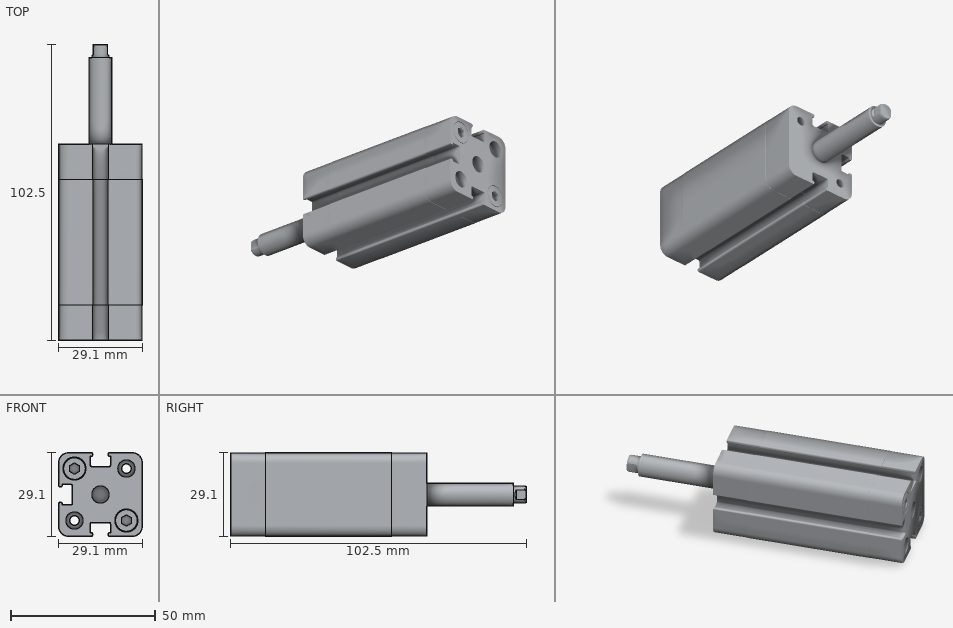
import cadquery as cq
import math

total_length = 102.5
body_length = 68.0
cap_length = 12.2
rod_shoulder = 98.0
tube_length = body_length - 2 * cap_length

tube_width = 29.05
cap_width = 28.9
corner_center = 11.0

groove_mouth = 6.4
groove_undercut = 13.2
groove_floor_radius = 0.5
tube_groove_throat = 5.3
cap_groove_throat = 5.6
tube_groove_inner_width = 7.0
cap_groove_inner_width = 7.1
tube_groove_floor = 9.8
cap_groove_floor = 9.6
groove_angles = (0, 90, 180)

bolt_offset = 9.0
through_diameter = 3.24
counterbore_diameter = 6.0
counterbore_depth = 3.3
center_bore_diameter = 6.0
center_bore_depth = 5.0
screw_head_diameter = 7.5
screw_recess_diameter = 8.0
screw_gap_depth = 0.5
hex_across_flats = 3.4
hex_depth = 2.0

rod_diameter = 8.0
tip_diameter = 6.0
tip_flats = 5.0
flat_length = 3.45
tip_chamfer_length = 0.65
tip_chamfer_radial = 0.2


def along_axis(start):
    """Sketch plane at Y = start whose normal points toward the rod end; local x is -X, local y is Z."""
    return cq.Workplane(cq.Plane(origin=(0, start, 0), xDir=(-1, 0, 0), normal=(0, 1, 0)))


def cylinder(diameter, start, end, x=0, z=0):
    """Cylinder parallel to Y, centered at (x, z)."""
    return along_axis(start).center(-x, z).circle(diameter / 2).extrude(end - start)


def groove(width, throat, inner_width, floor, start, length):
    """T-groove cutter for the top side, with rounded lips and rounded floor corners."""
    face = width / 2
    mouth_half = groove_mouth / 2
    throat_half = throat / 2
    inner_half = inner_width / 2
    lip_radius = mouth_half - throat_half
    floor_half = inner_half - groove_floor_radius
    half = (
        along_axis(start)
        .moveTo(0, face)
        .lineTo(mouth_half, face)
        .radiusArc((throat_half, face - lip_radius), -lip_radius)
        .lineTo(throat_half, groove_undercut + lip_radius)
        .radiusArc((mouth_half, groove_undercut), -lip_radius)
        .lineTo(inner_half, groove_undercut)
        .lineTo(inner_half, floor + groove_floor_radius)
        .radiusArc((floor_half, floor), groove_floor_radius)
        .lineTo(0, floor)
        .close()
        .extrude(length)
    )
    return half.union(half.mirror("YZ"))


def profile_block(width, cutter, start, length):
    """Rounded square block with the given groove in three of its sides."""
    block = along_axis(start).rect(width, width).extrude(length)
    block = block.edges("|Y").fillet(width / 2 - corner_center)
    for angle in groove_angles:
        block = block.cut(cutter.rotate((0, 0, 0), (0, 1, 0), -angle))
    return block


def make_body():
    """Tube between two identical, slightly smaller end caps."""
    cap_groove = groove(
        cap_width, cap_groove_throat, cap_groove_inner_width, cap_groove_floor, 0, cap_length
    )
    tube_groove = groove(
        tube_width, tube_groove_throat, tube_groove_inner_width, tube_groove_floor, cap_length, tube_length
    )
    rear_cap = profile_block(cap_width, cap_groove, 0, cap_length)
    tube = profile_block(tube_width, tube_groove, cap_length, tube_length)
    front_cap = rear_cap.translate((0, body_length - cap_length, 0))
    return rear_cap.union(tube).union(front_cap)


def make_rod():
    """Rod with a stepped tip that has two wrench flats and a tapered end."""
    radius = tip_diameter / 2
    end_radius = radius - tip_chamfer_radial
    rod = (
        cq.Workplane("XY")
        .moveTo(0, body_length - cap_length)
        .lineTo(rod_diameter / 2, body_length - cap_length)
        .lineTo(rod_diameter / 2, rod_shoulder)
        .lineTo(radius, rod_shoulder)
        .lineTo(radius, total_length - tip_chamfer_length)
        .lineTo(end_radius, total_length)
        .lineTo(0, total_length)
        .close()
        .revolve(360, (0, 0, 0), (0, 1, 0))
    )
    flat_x = tip_flats / 2
    flat_start = total_length - flat_length
    runout = radius - flat_x
    flat_cut = (
        cq.Workplane("XY")
        .moveTo(flat_x, total_length)
        .lineTo(flat_x, flat_start)
        .lineTo(flat_x + runout, flat_start - runout)
        .lineTo(flat_x + runout, total_length)
        .close()
        .extrude(radius, both=True)
    )
    return rod.cut(flat_cut).cut(flat_cut.mirror("YZ"))


def cut_mounting_holes(part):
    """Counterbored through holes on one diagonal and a blind bore in the center."""
    for side in (1, -1):
        x = side * bolt_offset
        z = side * bolt_offset
        part = part.cut(cylinder(through_diameter, 0, body_length, x, z))
        part = part.cut(cylinder(counterbore_diameter, 0, counterbore_depth, x, z))
    return part.cut(cylinder(center_bore_diameter, 0, center_bore_depth))


def cut_screw_heads(part):
    """Flush socket-head screws on the other diagonal, each ringed by a narrow gap."""
    hex_circle = hex_across_flats / math.cos(math.pi / 6)
    for side in (1, -1):
        x = side * bolt_offset
        z = -side * bolt_offset
        recess = cylinder(screw_recess_diameter, 0, screw_gap_depth, x, z)
        head = cylinder(screw_head_diameter, 0, screw_gap_depth, x, z)
        socket = along_axis(0).center(-x, z).polygon(6, hex_circle).extrude(hex_depth)
        socket = socket.rotate((x, 0, z), (x, 1, z), 30)
        part = part.cut(recess.cut(head)).cut(socket)
    return part


result = cut_screw_heads(cut_mounting_holes(make_body().union(make_rod())))